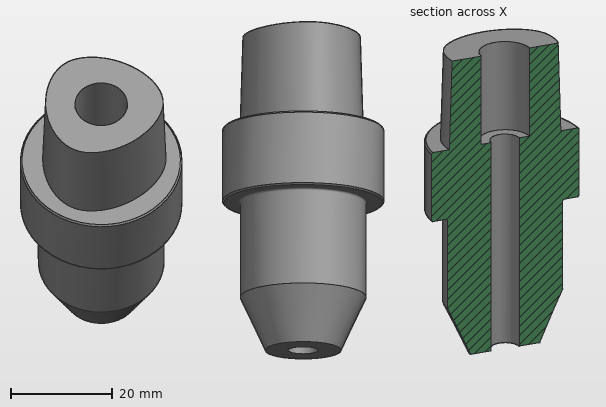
import cadquery as cq
import math

total_height = 64.0
nose_height = 10.75
collar_bottom = 30.0
collar_top = 45.0

nose_tip_radius = 7.5
shank_radius = 12.5
collar_radius = 16.0
collar_chamfer = 0.3
neck_fillet = 0.4

head_base_radius = 12.2
head_top_radius = 11.65
head_eccentricity = 0.65
curve_points = 36

through_radius = 3.0
counterbore_radius = 5.2
counterbore_depth = total_height - collar_top


def make_body():
    """Revolve the nose, shank and collar about the Z axis."""
    chamfer_radius = collar_radius - collar_chamfer
    fillet_reach = neck_fillet * (1 - math.sqrt(0.5))
    return (
        cq.Workplane("XZ")
        .lineTo(nose_tip_radius, 0)
        .lineTo(shank_radius, nose_height)
        .lineTo(shank_radius, collar_bottom - neck_fillet)
        .threePointArc(
            (shank_radius + fillet_reach, collar_bottom - fillet_reach),
            (shank_radius + neck_fillet, collar_bottom),
        )
        .lineTo(chamfer_radius, collar_bottom)
        .lineTo(collar_radius, collar_bottom + collar_chamfer)
        .lineTo(collar_radius, collar_top - collar_chamfer)
        .lineTo(chamfer_radius, collar_top)
        .lineTo(0, collar_top)
        .close()
        .revolve(360, (0, 0, 0), (0, 1, 0))
    )


def lobed_point(mean_radius, turn):
    """Point on a constant-width, three-lobed curve; turn runs from 0 to 1."""
    angle = 2 * math.pi * turn
    reach = mean_radius - head_eccentricity * math.cos(3 * angle)
    shift = 3 * head_eccentricity * math.sin(3 * angle)
    x = reach * math.cos(angle) - shift * math.sin(angle)
    y = reach * math.sin(angle) + shift * math.cos(angle)
    return x, y


def make_head():
    """Loft the lobed head from the collar to the top face."""
    turns = [index / curve_points for index in range(curve_points)]
    base_curve = [lobed_point(head_base_radius, turn) for turn in turns]
    top_curve = [lobed_point(head_top_radius, turn) for turn in turns]
    return (
        cq.Workplane("XY", origin=(0, 0, collar_top))
        .spline(base_curve, periodic=True, makeWire=True)
        .workplane(offset=total_height - collar_top)
        .spline(top_curve, periodic=True, makeWire=True)
        .loft(ruled=True)
    )


def make_bore():
    """Through hole with a counterbore entering from the top face."""
    through_hole = cq.Workplane("XY").circle(through_radius).extrude(total_height)
    counterbore = (
        cq.Workplane("XY", origin=(0, 0, total_height))
        .circle(counterbore_radius)
        .extrude(-counterbore_depth)
    )
    return through_hole.union(counterbore)


result = make_body().union(make_head()).cut(make_bore())